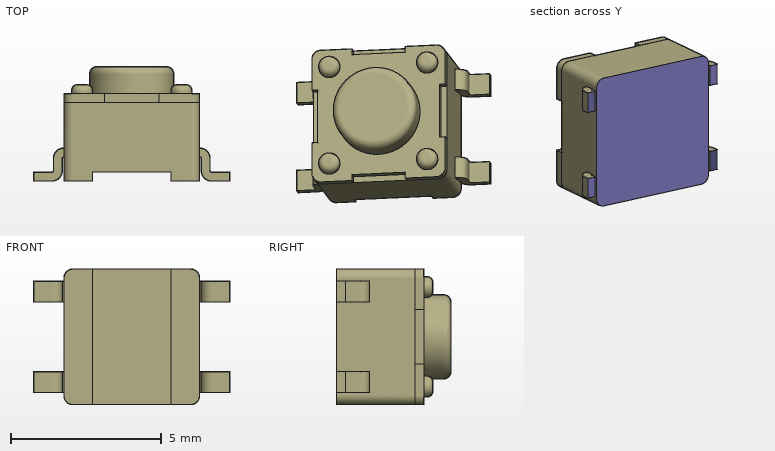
import cadquery as cq
import math


body_size = 4.5
corner_radius = 0.3
housing_height = 2.6
channel_width = 2.6
channel_depth = 0.3

cover_thickness = 0.3
notch_width = 1.8
notch_depth = 0.2
rivet_diameter = 0.7
rivet_height = 0.3
rivet_rounding = 0.2
rivet_offset = 1.65

button_diameter = 2.8
button_height = 0.9
button_rounding = 0.25

lead_span = 6.5
lead_width = 0.7
lead_thickness = 0.3
lead_offset = 1.5
lead_top = 1.1
lead_leg_gap = 0.05
lead_inner_radius = 0.05

half_body = body_size / 2
cover_top = housing_height + cover_thickness
lead_outer_radius = lead_inner_radius + lead_thickness
DIAGONAL = math.sqrt(0.5)


def level_plane(height):
    """Sketch plane at the given Y, facing +Y, with its local y axis along +Z."""
    return cq.Workplane(cq.Plane(origin=(0, height, 0), xDir=(-1, 0, 0), normal=(0, 1, 0)))


def rounded_block(base, height):
    block = level_plane(base).rect(body_size, body_size).extrude(height)
    return block.edges("|Y").fillet(corner_radius)


def make_housing():
    channel = level_plane(0).rect(channel_width, body_size).extrude(channel_depth)
    return rounded_block(0, housing_height).cut(channel)


def make_cover():
    plate = rounded_block(housing_height, cover_thickness)

    notches = (
        level_plane(housing_height)
        .polarArray(half_body, 0, 360, 4)
        .rect(2 * notch_depth, notch_width)
        .extrude(cover_thickness)
    )

    rivets = (
        level_plane(cover_top)
        .rect(2 * rivet_offset, 2 * rivet_offset, forConstruction=True)
        .vertices()
        .circle(rivet_diameter / 2)
        .extrude(rivet_height)
        .faces(">Y")
        .edges()
        .fillet(rivet_rounding)
    )
    return plate.cut(notches).union(rivets)


def make_button():
    cylinder = level_plane(cover_top).circle(button_diameter / 2).extrude(button_height)
    return cylinder.faces(">Y").edges().fillet(button_rounding)


def make_lead(side, z_center):
    """Lead on the +X (side = 1) or -X (side = -1) face of the housing."""
    leg_inner = half_body + lead_leg_gap
    leg_outer = leg_inner + lead_thickness
    toe = lead_span / 2

    upper_x = leg_outer - lead_outer_radius
    upper_y = lead_top - lead_outer_radius
    lower_x = leg_inner + lead_outer_radius
    lower_y = lead_outer_radius

    inner_mid = lead_inner_radius * DIAGONAL
    outer_mid = lead_outer_radius * DIAGONAL

    def at(x, y):
        return (side * x, y)

    profile = (
        cq.Workplane("XY", origin=(0, 0, z_center - lead_width / 2))
        .moveTo(*at(upper_x, lead_top))
        .threePointArc(at(upper_x + outer_mid, upper_y + outer_mid), at(leg_outer, upper_y))
        .lineTo(*at(leg_outer, lower_y))
        .threePointArc(at(lower_x - inner_mid, lower_y - inner_mid), at(lower_x, lead_thickness))
        .lineTo(*at(toe, lead_thickness))
        .lineTo(*at(toe, 0))
        .lineTo(*at(lower_x, 0))
        .threePointArc(at(lower_x - outer_mid, lower_y - outer_mid), at(leg_inner, lower_y))
        .lineTo(*at(leg_inner, upper_y))
        .threePointArc(
            at(upper_x + inner_mid, upper_y + inner_mid),
            at(upper_x, upper_y + lead_inner_radius),
        )
        .close()
    )
    return profile.extrude(lead_width)


housing = make_housing()
cover = make_cover()
button = make_button()
leads = [make_lead(side, row * lead_offset) for side in (-1, 1) for row in (-1, 1)]

result = cq.Compound.makeCompound(
    [housing.val(), cover.val(), button.val(), *[lead.val() for lead in leads]]
)